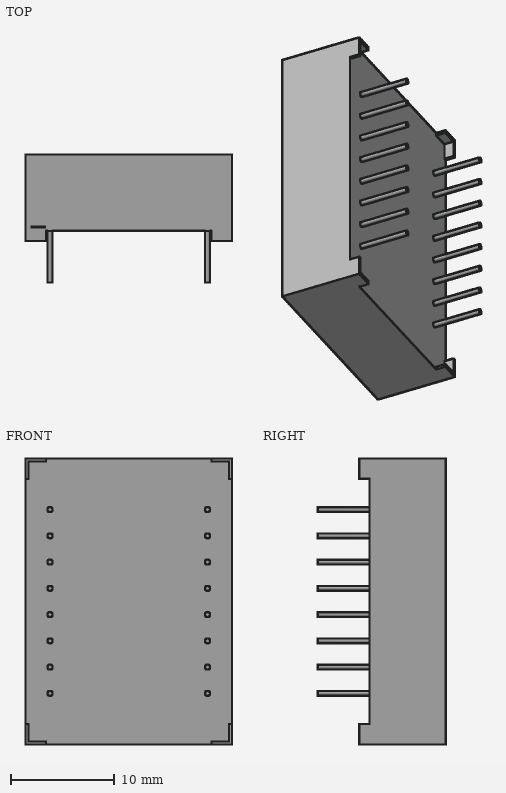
import cadquery as cq

WIDTH = 20.0
HEIGHT = 27.7
BODY_DEPTH = 7.4

FOOT_LENGTH = 2.0
FOOT_HEIGHT = 1.0
FOOT_WALL = 0.3

PIN_DIAMETER = 0.5
PIN_LENGTH = 5.0
PIN_PITCH = 2.54
PINS_PER_ROW = 8
ROW_SPACING_PITCHES = 6
ROW_SPACING = ROW_SPACING_PITCHES * PIN_PITCH

MARK_LENGTH = 1.3
MARK_WIDTH = 0.1
MARK_DEPTH = 0.1
MARK_SIDE_OFFSET = 0.6
MARK_BACK_OFFSET = 0.37


def make_body():
    """Plain block with its back face on Y = 0."""
    return cq.Workplane("XY").box(WIDTH, BODY_DEPTH, HEIGHT, centered=(True, False, True))


def make_foot(side_x, side_z):
    """L-shaped foot in the corner given by the signs side_x and side_z."""
    corner_x = side_x * WIDTH / 2
    corner_z = side_z * HEIGHT / 2
    end_x = corner_x - side_x * FOOT_LENGTH
    end_z = corner_z - side_z * FOOT_LENGTH
    inner_x = corner_x - side_x * FOOT_WALL
    inner_z = corner_z - side_z * FOOT_WALL
    outline = [
        (corner_x, corner_z),
        (end_x, corner_z),
        (end_x, inner_z),
        (inner_x, inner_z),
        (inner_x, end_z),
        (corner_x, end_z),
    ]
    return cq.Workplane("XZ").polyline(outline).close().extrude(FOOT_HEIGHT)


def make_pins():
    """Both pin rows, standing on the back face."""
    return (
        cq.Workplane("XZ")
        .rarray(ROW_SPACING, PIN_PITCH, 2, PINS_PER_ROW)
        .circle(PIN_DIAMETER / 2)
        .extrude(PIN_LENGTH)
    )


def make_index_groove():
    """Cutter for the index groove in the top face."""
    center_x = -WIDTH / 2 + MARK_SIDE_OFFSET + MARK_LENGTH / 2
    return (
        cq.Workplane("XY", origin=(center_x, MARK_BACK_OFFSET, HEIGHT / 2))
        .rect(MARK_LENGTH, MARK_WIDTH)
        .extrude(-MARK_DEPTH)
    )


result = make_body().union(make_pins())
for foot_side_x in (-1, 1):
    for foot_side_z in (-1, 1):
        result = result.union(make_foot(foot_side_x, foot_side_z))
result = result.cut(make_index_groove())